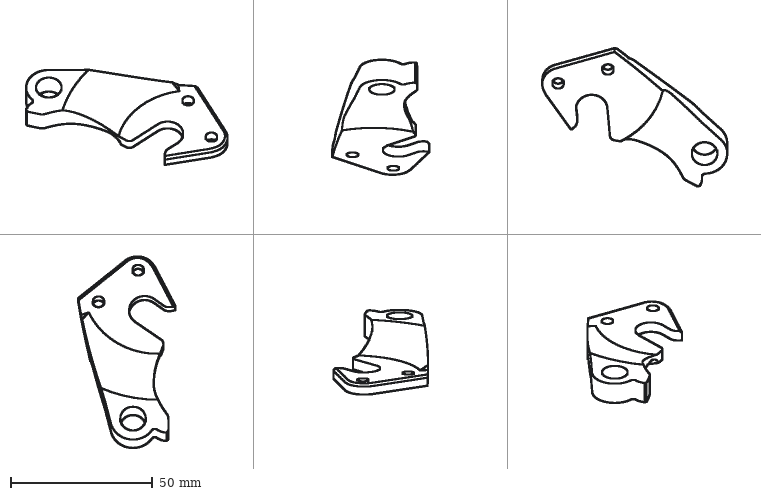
import cadquery as cq
import math

total_height = 11.5
plate_top = 3.9
arm_bottom = 3.55
edge_chamfer = 0.9

pivot_radius = 8.05
pivot_hole_radius = 4.5
flank_angle = math.radians(153)
flank_length = 9.4
tab_bottom = -11.8

plate_back = tab_bottom + 62.0
plate_right = 54.3 - pivot_radius
screw_hole_radius = 2.05
screw_hole_y = 44.2
screw_hole_xs = (21.95, 40.5)

slot_x = 32.2
slot_y = 31.0
slot_radius = 5.5
slot_lean = math.radians(12.6)

ramp_center = (42.15, 35.65)
ramp_inner_radius = 26.65
ramp_outer_radius = 47.3

ramp_end_point = (16.9, 43.3)
ramp_end_direction = 159.7
ramp_end_slope = math.radians(30.5)

cove_center = (32.55, 45.3)
cove_wall_radius = 30.5
cove_fillet_radius = 4.35

lip_tip = (41.7, 25.05)
lip_tip_radius = 0.4

reach = 124.0


def polar(radius, angle, center=(0, 0)):
    return (center[0] + radius * math.cos(angle), center[1] + radius * math.sin(angle))


def make_blank():
    flank_start = polar(pivot_radius, flank_angle)
    flank_end = polar(flank_length, flank_angle - math.pi / 2, flank_start)
    slot_center = (slot_x, slot_y)
    slot_right = polar(slot_radius, slot_lean, slot_center)
    slot_left = polar(slot_radius, math.pi + slot_lean, slot_center)
    outline = (
        cq.Workplane("XY")
        .moveTo(*flank_start)
        .lineTo(*flank_end)
        .threePointArc((5.6, 29.45), (17.55, plate_back))
        .lineTo(40.0, plate_back)
        .threePointArc((44.4, 48.25), (plate_right, 43.6))
        .lineTo(46.1, 41.55)
        .lineTo(*lip_tip)
        .lineTo(40.5, 25.7)
        .threePointArc((39.05, 26.8), (38.4, 28.35))
        .lineTo(*slot_right)
        .threePointArc((slot_x, slot_y + slot_radius), slot_left)
        .lineTo(29.25, 19.0)
        .threePointArc((29.25, 17.6), (28.45, 16.55))
        .lineTo(25.4, 14.9)
        .spline([(21.0, 11.95), (16.2, 7.55), (12.5, 2.35), (11.5, -0.25)], includeCurrent=True)
        .threePointArc((10.7, -3.3), (10.3, -6.2))
        .threePointArc((10.1, -7.2), (9.55, -8.2))
        .threePointArc((8.2, -9.8), (6.3, tab_bottom))
        .lineTo(5.45, tab_bottom)
        .threePointArc((4.35, -10.4), (3.65, -8.6))
        .threePointArc((3.1, -7.9), polar(pivot_radius, math.radians(-74)))
        .threePointArc((-pivot_radius, 0), flank_start)
        .close()
    )
    return outline.extrude(total_height)


def revolve_about(profile, center):
    """Revolve a radius-height profile about a vertical axis through center."""
    return profile.revolve(360, (0, 0, 0), (0, 1, 0)).translate((center[0], center[1], 0))


def ramp_cutter():
    profile = (
        cq.Workplane("XZ")
        .moveTo(0, plate_top)
        .lineTo(ramp_inner_radius, plate_top)
        .lineTo(ramp_outer_radius, total_height)
        .lineTo(0, total_height)
        .close()
    )
    return revolve_about(profile, ramp_center)


def ramp_end_cutter():
    rise = reach * math.tan(ramp_end_slope)
    wedge = (
        cq.Workplane("XZ")
        .polyline([(0, 0), (reach, 0), (reach, rise), (-reach, rise)])
        .close()
        .extrude(reach / 2, both=True)
    )
    return wedge.rotate((0, 0, 0), (0, 0, 1), ramp_end_direction - 90).translate(
        (ramp_end_point[0], ramp_end_point[1], plate_top)
    )


def cove_cutter():
    """Space under the arm, rounded into the plate by a fillet tangent to the arm's underside."""
    fillet_center = (cove_wall_radius + cove_fillet_radius, arm_bottom - cove_fillet_radius)
    wall_angle = math.pi - math.asin(-fillet_center[1] / cove_fillet_radius)
    middle_angle = (wall_angle + math.pi / 2) / 2
    wall_foot = polar(cove_fillet_radius, wall_angle, fillet_center)
    profile = (
        cq.Workplane("XZ")
        .moveTo(*wall_foot)
        .threePointArc(
            polar(cove_fillet_radius, middle_angle, fillet_center),
            (fillet_center[0], arm_bottom),
        )
        .lineTo(reach, arm_bottom)
        .lineTo(reach, 0)
        .close()
    )
    return revolve_about(profile, cove_center)


def vertical_holes(points, radius):
    return cq.Workplane("XY").pushPoints(points).circle(radius).extrude(total_height)


def chamfer_plate_edges(body):
    """Bevel the top rim along the back edge, the corner and the right edge."""
    rim_min = (12.4, plate_back - 27.9, plate_top - 0.05)
    rim_max = (reach, reach, plate_top + 0.05)
    rim = body.edges(cq.selectors.BoxSelector(rim_min, rim_max))
    outer = rim.filter(lambda edge: is_outer_rim(edge.positionAt(0.5)))
    return outer.chamfer(edge_chamfer)


def is_outer_rim(point):
    on_back = point.y > plate_back - 0.05
    right_of_holes = point.x > screw_hole_xs[1] + screw_hole_radius + 0.6
    return on_back or right_of_holes


body = make_blank()
body = body.cut(ramp_cutter()).cut(ramp_end_cutter()).cut(cove_cutter())
body = chamfer_plate_edges(body)
tip_edge = cq.selectors.NearestToPointSelector((*lip_tip, plate_top / 3))
body = body.edges(tip_edge).fillet(lip_tip_radius)
body = body.cut(vertical_holes([(0, 0)], pivot_hole_radius))
screw_points = [(x, screw_hole_y) for x in screw_hole_xs]
result = body.cut(vertical_holes(screw_points, screw_hole_radius))